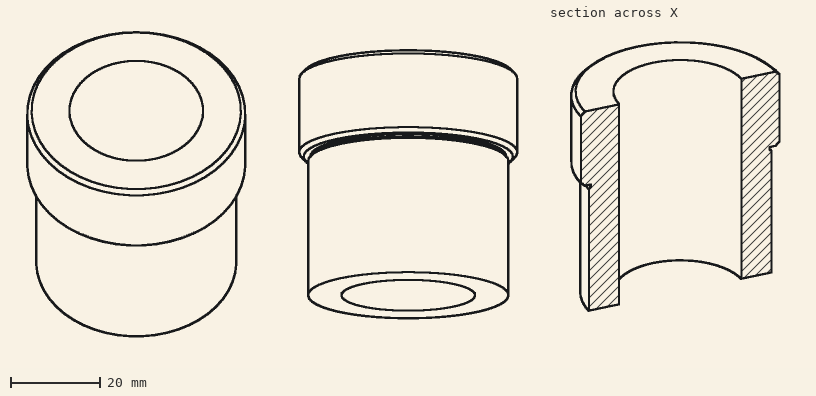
import cadquery as cq

total_height = 51.0
bore_diameter = 30.0

head_diameter = 49.0
head_height = 19.0
head_chamfer = 1.0

shank_diameter = 45.0
groove_depth = 0.5
groove_width = 1.0
groove_chamfer = groove_depth

bore_radius = bore_diameter / 2
head_radius = head_diameter / 2
shank_radius = shank_diameter / 2
groove_radius = shank_radius - groove_depth
head_bottom = total_height - head_height
groove_bottom = head_bottom - groove_width


def half_section():
    """Radial half section of the bush: X is the radius, Y the height."""
    return (
        cq.Workplane("XZ")
        .moveTo(bore_radius, 0)
        .lineTo(shank_radius, 0)
        .lineTo(shank_radius, groove_bottom)
        .lineTo(groove_radius, groove_bottom + groove_chamfer)
        .lineTo(groove_radius, head_bottom)
        .lineTo(head_radius - head_chamfer, head_bottom)
        .lineTo(head_radius, head_bottom + head_chamfer)
        .lineTo(head_radius, total_height - head_chamfer)
        .lineTo(head_radius - head_chamfer, total_height)
        .lineTo(bore_radius, total_height)
        .close()
    )


result = half_section().revolve(360, (0, 0, 0), (0, 1, 0))